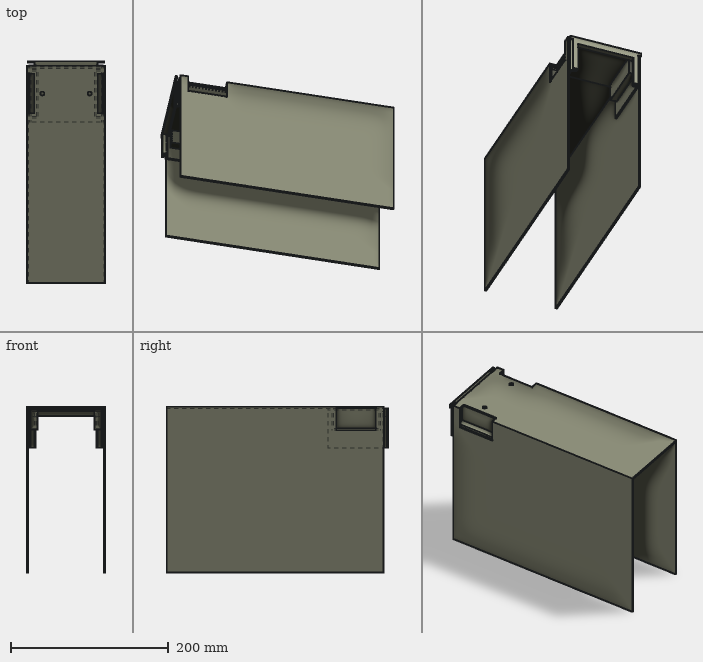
import cadquery as cq

cover_width = 99.0
cover_length = 275.0
cover_height = 210.0
sheet = 2.0

notch_length = 50.0
notch_rear_margin = 10.0
notch_inset = 9.5
notch_depth = 30.0
notch_rear = cover_length - notch_rear_margin
notch_front = notch_rear - notch_length
notch_middle = (notch_front + notch_rear) / 2

screw_diameter = 5.0
screw_spacing = 60.0

wall = 2.0
side_gap = 1.0
bracket_top = -sheet
bracket_bottom = -52.0
bracket_half_width = cover_width / 2 - sheet - side_gap
bracket_rear = cover_length + 1.0
bracket_front = 2 * notch_middle - bracket_rear

pocket_inner = 37.5
pocket_wall = 1.5
pocket_overrun = 4.0
pocket_front = notch_front - pocket_overrun
pocket_rear = notch_rear + pocket_overrun
pocket_floor = -27.5
pocket_floor_thickness = 2.0

frame_rear = 281.06
flange_half_width = 44.5
lip_half_width = 48.5
lip_height = 4.0
neck_half_width = cover_width / 2 - notch_inset
opening_half_width = neck_half_width - wall
opening_top = -12.0
opening_edge_radius = 4.0
rib_height = 2.0
rib_depth = 2.0


def block(half_width, y_front, y_rear, z_bottom, z_top):
    """Box centred on X = 0 between the given Y and Z limits."""
    return span(-half_width, half_width, y_front, y_rear, z_bottom, z_top)


def span(x_low, x_high, y_front, y_rear, z_bottom, z_top):
    """Box between the given limits."""
    size = (x_high - x_low, y_rear - y_front, z_top - z_bottom)
    return cq.Workplane("XY").box(*size, centered=False).translate((x_low, y_front, z_bottom))


def mirrored(right_side):
    """The right-hand shape together with its left-hand mirror image."""
    return right_side.union(right_side.mirror("YZ"))


def make_cover():
    half_width = cover_width / 2
    cover = block(half_width, 0, cover_length, -cover_height, 0)
    cover = cover.cut(block(half_width - sheet, 0, cover_length, -cover_height, -sheet))
    notch = span(half_width - notch_inset, half_width, notch_front, notch_rear, -notch_depth, 0)
    cover = cover.cut(mirrored(notch))
    screw_holes = (
        cq.Workplane("XY", origin=(0, notch_middle, -sheet))
        .pushPoints([(-screw_spacing / 2, 0), (screw_spacing / 2, 0)])
        .circle(screw_diameter / 2)
        .extrude(sheet)
    )
    return cover.cut(screw_holes)


def make_channel():
    """Top plate, side walls and rear end wall, with a rib in the top rear corner."""
    inner_half_width = bracket_half_width - wall
    inner_top = bracket_top - wall
    inner_rear = bracket_rear - wall
    channel = block(bracket_half_width, bracket_front, bracket_rear, bracket_bottom, bracket_top)
    channel = channel.cut(block(inner_half_width, bracket_front, inner_rear, bracket_bottom, inner_top))
    rib = block(inner_half_width, inner_rear - rib_depth, inner_rear, inner_top - rib_height, inner_top)
    return channel.union(rib)


def make_rear_frame():
    """Neck behind the end wall, the flange that ends it and the wider lip along its top."""
    flange_front = frame_rear - wall
    neck = block(neck_half_width, bracket_rear, flange_front, bracket_bottom, bracket_top)
    flange = block(flange_half_width, flange_front, frame_rear, bracket_bottom, bracket_top)
    lip = block(lip_half_width, flange_front, frame_rear, bracket_top - lip_height, bracket_top)
    return neck.union(flange).union(lip)


def make_frame_opening():
    """Opening through the end wall, neck and flange, flared by rounded front edges."""
    front = bracket_rear - wall
    flare_half_width = opening_half_width + opening_edge_radius
    flare_rear = front + opening_edge_radius
    return (
        cq.Workplane("XY", origin=(0, 0, bracket_bottom))
        .moveTo(-flare_half_width, front)
        .radiusArc((-opening_half_width, flare_rear), -opening_edge_radius)
        .lineTo(-opening_half_width, frame_rear)
        .lineTo(opening_half_width, frame_rear)
        .lineTo(opening_half_width, flare_rear)
        .radiusArc((flare_half_width, front), -opening_edge_radius)
        .close()
        .extrude(opening_top - bracket_bottom)
    )


def make_pocket_shell():
    """Solid block around the right-hand pocket, before it is hollowed."""
    return span(
        pocket_inner - pocket_wall,
        bracket_half_width,
        pocket_front - pocket_wall,
        pocket_rear + pocket_wall,
        pocket_floor - pocket_floor_thickness,
        bracket_top,
    )


def make_pocket_space():
    """Empty space of the right-hand pocket."""
    return span(pocket_inner, bracket_half_width, pocket_front, pocket_rear, pocket_floor, bracket_top)


def make_bracket():
    bracket = make_channel().union(make_rear_frame())
    bracket = bracket.cut(make_frame_opening())
    bracket = bracket.union(mirrored(make_pocket_shell()))
    return bracket.cut(mirrored(make_pocket_space()))


cover = make_cover()
bracket = make_bracket()
result = cq.Compound.makeCompound([cover.val(), bracket.val()])